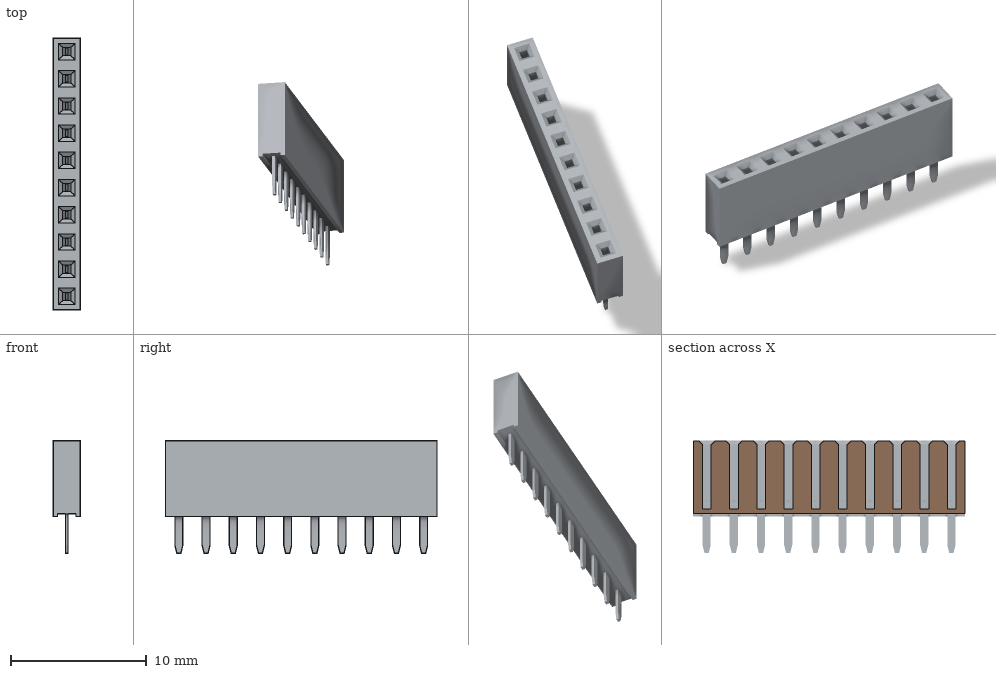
import cadquery as cq

pin_count = 10
pitch = 2.0
housing_width = 2.0
housing_length = pin_count * pitch
housing_height = 5.6

rail_width = 0.33
rail_height = 0.2

mouth_size = 1.2
socket_size = 0.6
mouth_depth = 0.3
socket_depth = 5.0

contact_thickness = 0.2
contact_width = 0.5
contact_height = 0.5

pin_thickness = 0.2
pin_width = 0.6
pin_length = 2.7
tip_width = 0.3
tip_length = 0.6

first_pin_y = -(pin_count - 1) * pitch / 2


def make_housing():
    """Rectangular block with a full-length groove underneath."""
    base = cq.Workplane("XY")
    block = base.rect(housing_width, housing_length).extrude(housing_height)
    groove_width = housing_width - 2 * rail_width
    groove = base.rect(groove_width, housing_length).extrude(rail_height)
    return block.cut(groove)


def make_socket():
    """Void of one socket, with the contact end left standing on its floor."""
    mouth = (
        cq.Workplane("XY", origin=(0, 0, housing_height))
        .rect(mouth_size, mouth_size)
        .workplane(offset=-mouth_depth)
        .rect(socket_size, socket_size)
        .loft(ruled=True)
    )
    floor = cq.Workplane("XY", origin=(0, 0, housing_height - socket_depth))
    hole = floor.rect(socket_size, socket_size).extrude(socket_depth - mouth_depth)
    contact = floor.rect(contact_thickness, contact_width).extrude(contact_height)
    return mouth.union(hole).cut(contact)


def make_pin():
    """Flat pin hanging from the groove ceiling, narrowing to a blunt tip."""
    shoulder_z = tip_length - pin_length
    return (
        cq.Workplane("YZ")
        .moveTo(-pin_width / 2, rail_height)
        .lineTo(-pin_width / 2, shoulder_z)
        .lineTo(-tip_width / 2, -pin_length)
        .lineTo(tip_width / 2, -pin_length)
        .lineTo(pin_width / 2, shoulder_z)
        .lineTo(pin_width / 2, rail_height)
        .close()
        .extrude(pin_thickness / 2, both=True)
    )


result = make_housing()
socket = make_socket()
pin = make_pin()
for index in range(pin_count):
    place = (0, first_pin_y + index * pitch, 0)
    result = result.cut(socket.translate(place))
    result = result.union(pin.translate(place))